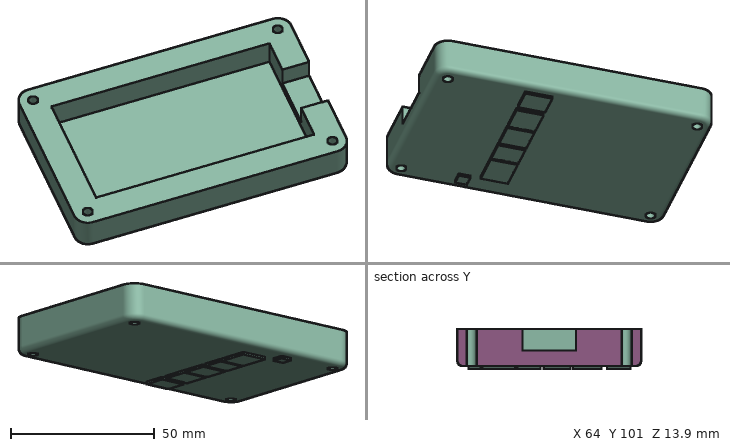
import cadquery as cq

length = 101.0
width = 64.0
total_height = 13.9
pad_height = 0.9
body_height = total_height - pad_height
corner_radius = 5.0
bottom_fillet = 2.0

wall = 10.0
pocket_depth = 10.0
notch_width = 18.6
notch_depth = 7.5

screw_hole_diameter = 3.4

pad_row_front = 7.8
pad_row_back = 17.7
pad_row_spans = [(-28.3, -20.0), (-18.2, -8.2), (-7.5, 1.9), (3.0, 11.1), (11.8, 23.2)]
small_pad_size = 4.2
small_pad_x = 26.0
small_pad_y = 23.3


def make_body():
    """Rounded block with its base at Z = 0 and a fillet round the bottom edge."""
    body = cq.Workplane("XY").box(width, length, body_height, centered=(True, True, False))
    return body.edges("|Z").fillet(corner_radius).faces("<Z").edges().fillet(bottom_fillet)


def make_pocket():
    """Rectangular pocket with the same wall thickness on all four sides."""
    return (
        cq.Workplane("XY")
        .workplane(offset=body_height - pocket_depth)
        .rect(width - 2 * wall, length - 2 * wall)
        .extrude(pocket_depth)
    )


def make_notch():
    """Opening from the pocket out through the middle of the +Y wall."""
    return (
        cq.Workplane("XY")
        .workplane(offset=body_height - notch_depth)
        .center(0, (length - wall) / 2)
        .rect(notch_width, wall)
        .extrude(notch_depth)
    )


def make_screw_holes():
    """Four through holes, one in each corner."""
    return (
        cq.Workplane("XY")
        .rect(width - 2 * corner_radius, length - 2 * corner_radius, forConstruction=True)
        .vertices()
        .circle(screw_hole_diameter / 2)
        .extrude(body_height)
    )


def make_pad(center_x, center_y, size_x, size_y):
    """Plain rectangular pad standing down from the base."""
    return cq.Workplane("XY").center(center_x, center_y).rect(size_x, size_y).extrude(-pad_height)


result = make_body().cut(make_pocket()).cut(make_notch()).cut(make_screw_holes())

pad_row_y = (pad_row_front + pad_row_back) / 2
pad_row_depth = pad_row_back - pad_row_front
for left, right in pad_row_spans:
    result = result.union(make_pad((left + right) / 2, pad_row_y, right - left, pad_row_depth))
result = result.union(make_pad(small_pad_x, small_pad_y, small_pad_size, small_pad_size))